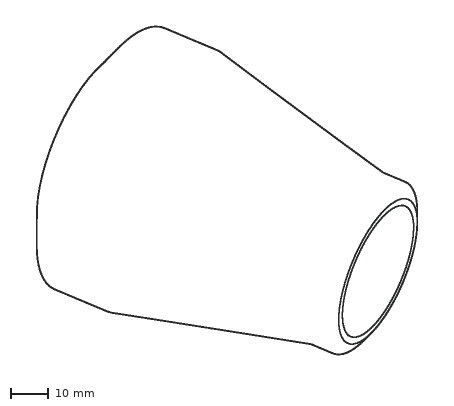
import cadquery as cq
import math

length = 90.0
large_outer_radius = 76.1 / 2
large_bore_radius = 51.1 / 2
small_outer_radius = 50.0 / 2
small_bore_radius = 38.0 / 2

outer_taper_start = 23.0
bore_taper_start = 15.2
taper_end = 80.0

bevel_angle = math.radians(60)
root_face = 2.0

edge_radius = 1.0
bore_chamfer = 0.3


def bevel_length(outer_radius, bore_radius):
    """Axial length of a bevel that leaves the root face around the bore."""
    return (outer_radius - bore_radius - root_face) / math.tan(bevel_angle)


def revolved(outline):
    """Solid of revolution about X from (axial, radius) points, closed along the axis."""
    points = [(0, 0), *outline, (length, 0)]
    return cq.Workplane("XZ").polyline(points).close().revolve(360, (0, 0, 0), (1, 0, 0))


large_bevel_end = bevel_length(large_outer_radius, large_bore_radius)
small_bevel_start = length - bevel_length(small_outer_radius, small_bore_radius)

body = revolved([
    (0, large_bore_radius + root_face),
    (large_bevel_end, large_outer_radius),
    (outer_taper_start, large_outer_radius),
    (taper_end, small_outer_radius),
    (small_bevel_start, small_outer_radius),
    (length, small_bore_radius + root_face),
])
rounded_edges = cq.selectors.BoxSelector(
    (large_bevel_end / 2, -edge_radius, -edge_radius),
    ((small_bevel_start + length) / 2, edge_radius, edge_radius),
)
body = body.edges("%CIRCLE").edges(rounded_edges).fillet(edge_radius)

bore = revolved([
    (0, large_bore_radius + bore_chamfer),
    (bore_chamfer, large_bore_radius),
    (bore_taper_start, large_bore_radius),
    (taper_end, small_bore_radius),
    (length, small_bore_radius),
])

result = body.cut(bore)